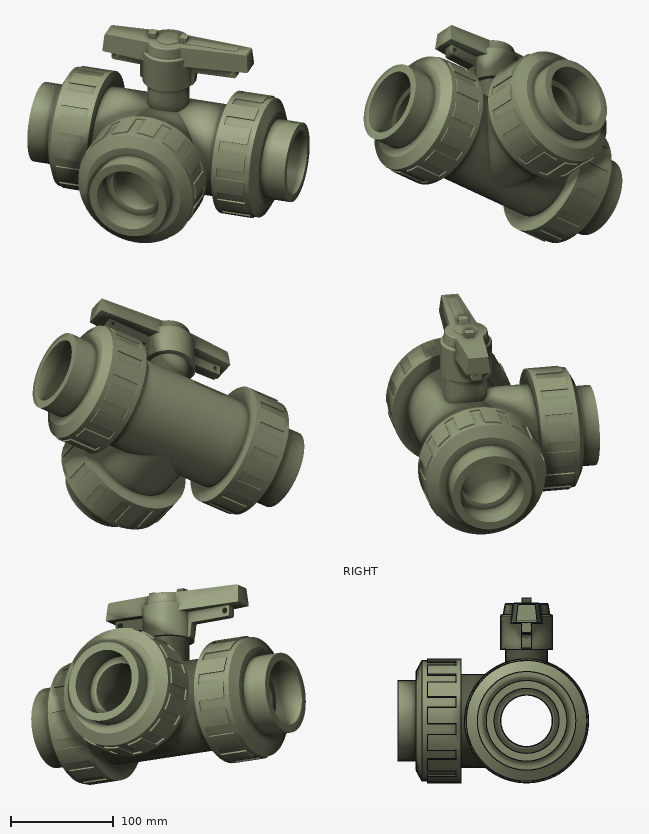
import cadquery as cq
import math


run_reach = 132.0
branch_reach = 125.5
body_radius = 45.5
socket_radius = 39.3
socket_bore_radius = 31.7
socket_depth = 29.0
flow_bore_radius = 25.0

nut_radius = 60.5
nut_band_radius = 59.0
nut_end_radius = 48.0
nut_start = 64.0
rib_start = 68.6
rib_end = 96.5
nut_band_end = 102.0
nut_end = 107.7
rib_count = 14
rib_pitch = 360 / rib_count
rib_angle = 15.6

neck_radius = 20.3
collar_step = 0.13
collar_radius = neck_radius + collar_step
collar_top = 57.0
notch_width = 7.0
notch_height = 5.0

hub_radius = 25.3
hub_bottom = 69.7
hub_top = 103.5
hub_round = 1.8
crown_base_radius = 22.7
crown_top_radius = 20.9
crown_round = 1.5

lever_top = 114.3
lever_end_bottom = 96.0
lever_keel = 94.5
lever_left = -64.0
lever_right = 84.5
lever_end_band = 1.8
lever_end_lean = 1.3
lever_end_chamfer = 1.0
lever_bottom_half_width = 17.0
lever_top_half_width = 14.5
lever_narrowing = 0.075
lever_overrun = 5.3

disc_radius = 11.5
raised_height = 0.8
pad_width = 9.8
pad_end = 71.3
lug_width = 9.0
lug_height = 5.5
lug_outer = 19.5
lug_inner_top = 12.5
lug_inner_bottom = 10.8

web_thickness = 9.5
web_left = -56.8
web_right = 71.0
web_end_bottom = 85.0
web_root_bottom = 84.0
web_corner = 1.3
web_skirt_left = -27.5
web_skirt_right_top = 28.8
web_skirt_right_bottom = 27.2
lock_hole_diameter = 6.0
lock_hole_z = 90.8
lock_hole_inset = 5.0


def cylinder_x(radius, start, end):
    return cq.Workplane("YZ").workplane(offset=start).circle(radius).extrude(end - start)


def cylinder_z(radius, start, end):
    return cq.Workplane("XY").workplane(offset=start).circle(radius).extrude(end - start)


def plate_xz(points, thickness):
    """Side outline in the XZ plane, extruded evenly to both sides of Y = 0."""
    return cq.Workplane("XZ").polyline(points).close().extrude(thickness / 2, both=True)


def grip_gap(start_angle):
    """Wedge between two grip ribs; angles run from +Z towards +Y."""
    def wedge_corner(angle):
        turn = math.radians(angle)
        return (2 * nut_radius * math.sin(turn), 2 * nut_radius * math.cos(turn))

    return (
        cq.Workplane("YZ").workplane(offset=rib_start)
        .polyline([
            (0, 0), wedge_corner(start_angle), wedge_corner(start_angle + rib_pitch - rib_angle),
        ])
        .close()
        .extrude(nut_end - rib_start)
    )


def union_nut():
    """Nut around the X axis: a ribbed sleeve on a plain core with a chamfered end."""
    sleeve = cylinder_x(nut_radius, nut_start, rib_end)
    for index in range(rib_count):
        sleeve = sleeve.cut(grip_gap(index * rib_pitch + rib_angle))
    core_profile = [
        (nut_start, 0), (nut_start, nut_band_radius), (nut_band_end, nut_band_radius),
        (nut_end, nut_end_radius), (nut_end, 0),
    ]
    core = cq.Workplane("XY").polyline(core_profile).close().revolve(360, (0, 0, 0), (1, 0, 0))
    return core.union(sleeve)


def port(reach):
    """Body tube, union nut and socket of one port, pointing along +X."""
    tube = cylinder_x(body_radius, 0, nut_start)
    socket = cylinder_x(socket_radius, nut_start, reach)
    return tube.union(union_nut()).union(socket)


def port_bore(reach):
    return cylinder_x(flow_bore_radius, 0, reach).union(
        cylinder_x(socket_bore_radius, reach - socket_depth, reach)
    )


def neck():
    collar = cylinder_z(collar_radius, 0, collar_top)
    notch_ring = cylinder_z(collar_radius, collar_top - notch_height, collar_top).cut(
        cylinder_z(neck_radius, 0, collar_top)
    )
    notch_span = 2 * hub_radius
    cross = cq.Workplane("XY").box(notch_span, notch_width, 2 * collar_top).union(
        cq.Workplane("XY").box(notch_width, notch_span, 2 * collar_top)
    )
    return collar.cut(notch_ring.intersect(cross)).union(cylinder_z(neck_radius, 0, hub_top))


def hub():
    drum = cylinder_z(hub_radius, hub_bottom, hub_top).faces(">Z").edges().fillet(hub_round)
    crown = (
        cq.Workplane("XY").workplane(offset=hub_top).circle(crown_base_radius)
        .workplane(offset=lever_top - hub_top).circle(crown_top_radius)
        .loft()
        .faces(">Z").edges().fillet(crown_round)
    )
    return drum.union(crown)


def lever_plan(center_half_width):
    """Plan outline of both arms for a given half width over the hub."""
    left = lever_left - lever_overrun
    right = lever_right + lever_overrun
    left_half = center_half_width + lever_narrowing * left
    right_half = center_half_width - lever_narrowing * right
    return [
        (left, -left_half), (0, -center_half_width), (right, -right_half),
        (right, right_half), (0, center_half_width), (left, left_half),
    ]


def lever_arms():
    tapered = (
        cq.Workplane("XY").workplane(offset=lever_keel)
        .polyline(lever_plan(lever_bottom_half_width)).close()
        .workplane(offset=lever_top - lever_keel)
        .polyline(lever_plan(lever_top_half_width)).close()
        .loft(ruled=True)
    )
    band_top = lever_end_bottom + lever_end_band
    chamfer_start = lever_top - lever_end_chamfer
    top_inset = lever_end_lean + lever_end_chamfer
    side = plate_xz(
        [
            (lever_left, lever_end_bottom), (0, lever_keel), (lever_right, lever_end_bottom),
            (lever_right, band_top), (lever_right - lever_end_lean, chamfer_start),
            (lever_right - top_inset, lever_top), (lever_left + top_inset, lever_top),
            (lever_left + lever_end_lean, chamfer_start), (lever_left, band_top),
        ],
        4 * lever_bottom_half_width,
    )
    return tapered.intersect(side)


def lever_top_details():
    disc = cylinder_z(disc_radius, hub_top, lever_top + raised_height)
    pad = cq.Workplane("XY").box(
        pad_end, pad_width, lever_top + raised_height - hub_top, centered=(False, True, False)
    ).translate((0, 0, hub_top))
    lug = plate_xz(
        [
            (lug_inner_bottom, lever_top), (lug_outer, lever_top),
            (lug_outer, lever_top + lug_height), (lug_inner_top, lever_top + lug_height),
        ],
        lug_width,
    )
    return disc.union(pad).union(lug).union(lug.mirror("YZ"))


def web():
    plate = plate_xz(
        [
            (web_left, lever_end_bottom), (web_left, web_end_bottom + web_corner),
            (web_left + web_corner, web_end_bottom), (web_skirt_left, web_root_bottom),
            (web_skirt_left, hub_bottom + web_corner), (web_skirt_left + web_corner, hub_bottom),
            (web_skirt_right_bottom - web_corner, hub_bottom),
            (web_skirt_right_bottom, hub_bottom + web_corner),
            (web_skirt_right_top, web_root_bottom), (web_right - web_corner, web_end_bottom),
            (web_right, web_end_bottom + web_corner), (web_right, lever_end_bottom),
        ],
        web_thickness,
    )
    lock_holes = (
        cq.Workplane("XZ")
        .pushPoints([
            (web_left + lock_hole_inset, lock_hole_z),
            (web_right - lock_hole_inset, lock_hole_z),
        ])
        .circle(lock_hole_diameter / 2)
        .extrude(web_thickness, both=True)
    )
    return plate.cut(lock_holes)


ports = [(run_reach, 0), (run_reach, 180), (branch_reach, -90)]
z_axis = ((0, 0, 0), (0, 0, 1))

valve = neck()
for reach, turn in ports:
    valve = valve.union(port(reach).rotate(*z_axis, turn))
for reach, turn in ports:
    valve = valve.cut(port_bore(reach).rotate(*z_axis, turn))

for lever_piece in (hub(), web(), lever_arms(), lever_top_details()):
    valve = valve.union(lever_piece)

result = valve